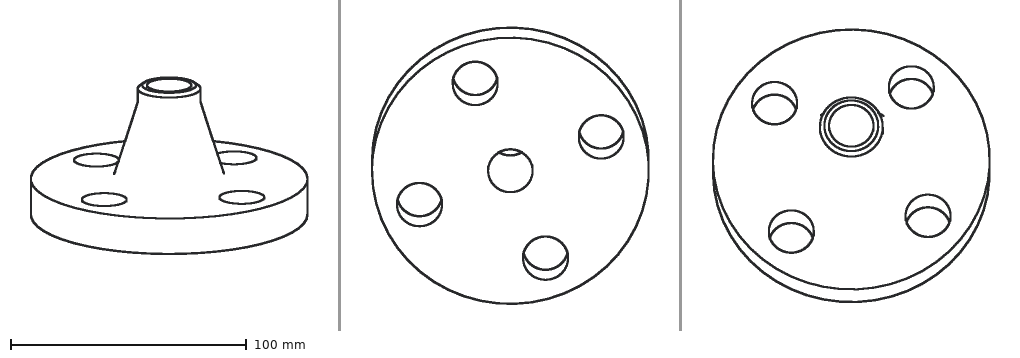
import cadquery as cq
import math

flange_diameter = 117.348
flange_thickness = 15.748

overall_height = 57.15
neck_diameter = 26.67
neck_cylinder_length = 7.5
bevel_height = 1.5
land_width = 2.0
bore_diameter = 18.85

hub_base_diameter = 47.75
hub_fillet_radius = 3.0

bolt_circle_diameter = 82.55
bolt_hole_diameter = 19.05
bolt_hole_count = 4


def flange_and_hub():
    """Revolve the flange, the tapered hub and the bevelled neck as one profile."""
    flange_radius = flange_diameter / 2
    hub_radius = hub_base_diameter / 2
    neck_radius = neck_diameter / 2
    tip_radius = bore_diameter / 2 + land_width
    taper_top = overall_height - neck_cylinder_length
    bevel_bottom = overall_height - bevel_height

    taper_angle = math.atan2(taper_top - flange_thickness, hub_radius - neck_radius)
    tangent_length = hub_fillet_radius * math.tan(taper_angle / 2)
    fillet_centre = (hub_radius + tangent_length, flange_thickness + hub_fillet_radius)
    fillet_on_face = (fillet_centre[0], flange_thickness)
    fillet_on_taper = (
        hub_radius - tangent_length * math.cos(taper_angle),
        flange_thickness + tangent_length * math.sin(taper_angle),
    )
    fillet_middle = (
        fillet_centre[0] - hub_fillet_radius * math.sin(taper_angle / 2),
        fillet_centre[1] - hub_fillet_radius * math.cos(taper_angle / 2),
    )

    profile = (
        cq.Workplane("XZ")
        .lineTo(flange_radius, 0)
        .lineTo(flange_radius, flange_thickness)
        .lineTo(*fillet_on_face)
        .threePointArc(fillet_middle, fillet_on_taper)
        .lineTo(neck_radius, taper_top)
        .lineTo(neck_radius, bevel_bottom)
        .lineTo(tip_radius, overall_height)
        .lineTo(0, overall_height)
        .close()
    )
    return profile.revolve(360, (0, 0, 0), (0, 1, 0))


def bore():
    """Cylinder of the central bore, running through the full height."""
    return cq.Workplane("XY").circle(bore_diameter / 2).extrude(overall_height)


def bolt_holes():
    """Cylinders of the bolt holes, the first one on the +X axis."""
    return (
        cq.Workplane("XY")
        .polarArray(bolt_circle_diameter / 2, 0, 360, bolt_hole_count)
        .circle(bolt_hole_diameter / 2)
        .extrude(flange_thickness)
    )


result = flange_and_hub().cut(bore()).cut(bolt_holes())